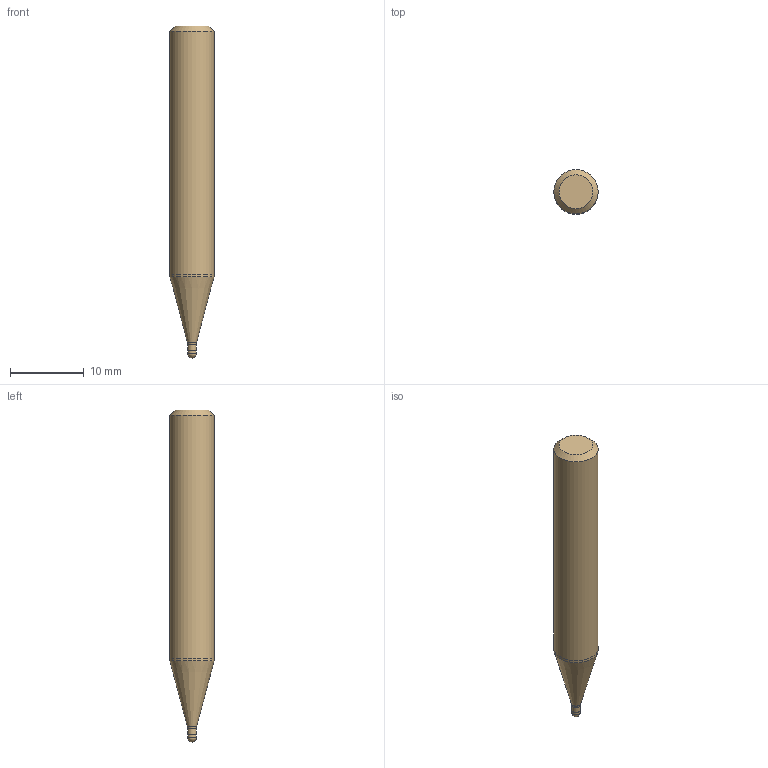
import cadquery as cq
import math

overall_length = 45.0

ball_radius = 0.6
cutting_length = 1.0

neck_radius = 0.575
neck_end_z = 1.8
cone_half_angle = math.radians(15)
neck_blend_radius = 1.0

shank_radius = 3.0
shank_start_z = 11.3
shank_chamfer = 0.7

blend_center_radius = neck_radius + neck_blend_radius


def blend_point(angle):
    """Point on the neck blend, turned by angle from the end of the neck."""
    radius = blend_center_radius - neck_blend_radius * math.cos(angle)
    height = neck_end_z + neck_blend_radius * math.sin(angle)
    return (radius, height)


cone_start = blend_point(cone_half_angle)
cone_end_z = cone_start[1] + (shank_radius - cone_start[0]) / math.tan(cone_half_angle)


def revolve_about_z(profile):
    """Turn a closed (radius, height) profile fully around the Z axis."""
    return profile.revolve(360, (0, 0, 0), (0, 1, 0), clean=False)


def make_cutting_head():
    """Ball tip with a short cylinder above it."""
    diagonal = ball_radius * math.sin(math.radians(45))
    profile = (
        cq.Workplane("YZ")
        .moveTo(0, 0)
        .threePointArc((-diagonal, ball_radius - diagonal), (-ball_radius, ball_radius))
        .lineTo(-ball_radius, cutting_length)
        .lineTo(0, cutting_length)
        .close()
    )
    return revolve_about_z(profile)


def make_holder():
    """Neck, blend, cone and chamfered shank, resting on the cutting head."""
    blend_middle = blend_point(cone_half_angle / 2)
    profile = (
        cq.Workplane("YZ")
        .moveTo(0, cutting_length)
        .lineTo(-neck_radius, cutting_length)
        .lineTo(-neck_radius, neck_end_z)
        .threePointArc((-blend_middle[0], blend_middle[1]), (-cone_start[0], cone_start[1]))
        .lineTo(-shank_radius, cone_end_z)
        .lineTo(-shank_radius, shank_start_z)
        .lineTo(-shank_radius, overall_length - shank_chamfer)
        .lineTo(-(shank_radius - shank_chamfer), overall_length)
        .lineTo(0, overall_length)
        .close()
    )
    return revolve_about_z(profile)


cutting_head = make_cutting_head()
holder = make_holder()

result = cq.Compound.makeCompound([cutting_head.val(), holder.val()])